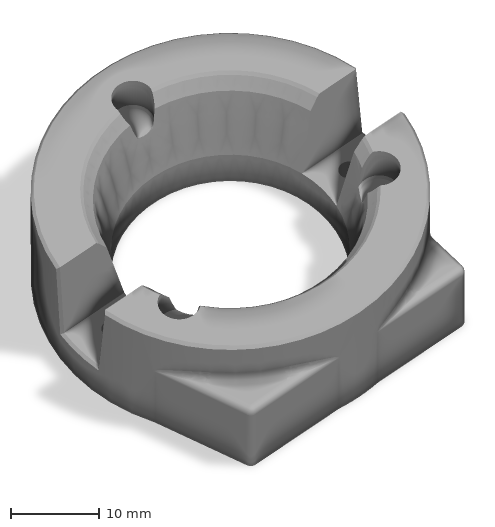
import cadquery as cq
import math

outer_radius = 22.6
height = 16.0
edge_chamfer = 0.35
bore_radius = 27.0 / 2
seat_radius = 15.55
mouth_radius = 16.65
mouth_depth = 1.9
bore_straight_height = 4.9

slot_floor = bore_straight_height
slot_floor_width = 6.05
slot_top_width = 7.9
screw_diameter = 2.4
screw_offset = 17.55

pocket_count = 3
pocket_circle_radius = 17.1
pocket_radius = 2.45
pocket_floor_chamfer = 0.25
pocket_depth = 4.75
first_pocket_angle = 180

lug_face_x = 22.4
lug_back_y = 16.2
lug_front_y = -15.8
lug_root_x = 10.45
lug_height = 10.3
lug_round = 0.9
root_fillet = 1.05


def make_lug():
    """Side block with rounded upper and outer edges."""
    root_y = -math.sqrt(outer_radius**2 - lug_root_x**2)
    outline = [
        (lug_root_x, root_y),
        (lug_face_x, lug_front_y),
        (lug_face_x, lug_back_y),
        (lug_root_x, lug_back_y),
    ]
    block = cq.Workplane("XY").polyline(outline).close().extrude(lug_height)
    block = block.edges("|Z and >X").fillet(lug_round)
    return block.faces(">Z").edges().fillet(lug_round)


def make_ring():
    """Slotted outer ring with chamfers on its rim and along the slot ends."""
    ring = cq.Workplane("XY").circle(outer_radius).extrude(height).cut(make_slots())
    return ring.faces("%CYLINDER").edges("not <Z").chamfer(edge_chamfer)


def join_lug(ring):
    """Add the lug, blending its flat top into the ring wall."""
    body = ring.union(make_lug())
    tolerance = 0.005
    lug_top = cq.selectors.BoxSelector(
        (0, -outer_radius, lug_height - tolerance),
        (outer_radius, outer_radius, lug_height + tolerance),
    )
    return body.faces(lug_top).edges("%CIRCLE").fillet(root_fillet)


def make_bore():
    """Straight lower bore, flared seat, conical mouth and chamfered rim."""
    return (
        cq.Workplane("XZ")
        .lineTo(bore_radius, 0)
        .lineTo(bore_radius, bore_straight_height)
        .lineTo(seat_radius, height - mouth_depth)
        .lineTo(mouth_radius, height - edge_chamfer)
        .lineTo(mouth_radius + edge_chamfer, height)
        .lineTo(0, height)
        .close()
        .revolve(360, (0, 0, 0), (0, 1, 0))
    )


def make_slots():
    """Wedge-sided channel across the full diameter."""
    outline = [
        (-slot_floor_width / 2, slot_floor),
        (slot_floor_width / 2, slot_floor),
        (slot_top_width / 2, height),
        (-slot_top_width / 2, height),
    ]
    return cq.Workplane("XZ").polyline(outline).close().extrude(outer_radius, both=True)


def make_pocket(angle):
    """Blind round pocket with a bevelled floor edge."""
    turn = math.radians(angle)
    return (
        cq.Workplane("XY", origin=(0, 0, height - pocket_depth))
        .center(pocket_circle_radius * math.cos(turn), pocket_circle_radius * math.sin(turn))
        .circle(pocket_radius)
        .extrude(pocket_depth)
        .faces("<Z")
        .chamfer(pocket_floor_chamfer)
    )


body = join_lug(make_ring()).cut(make_bore())

for index in range(pocket_count):
    body = body.cut(make_pocket(first_pocket_angle + index * 360 / pocket_count))

screw_places = [(0, -screw_offset), (0, screw_offset)]
screw_holes = cq.Workplane("XY").pushPoints(screw_places).circle(screw_diameter / 2).extrude(height)

result = body.cut(screw_holes)